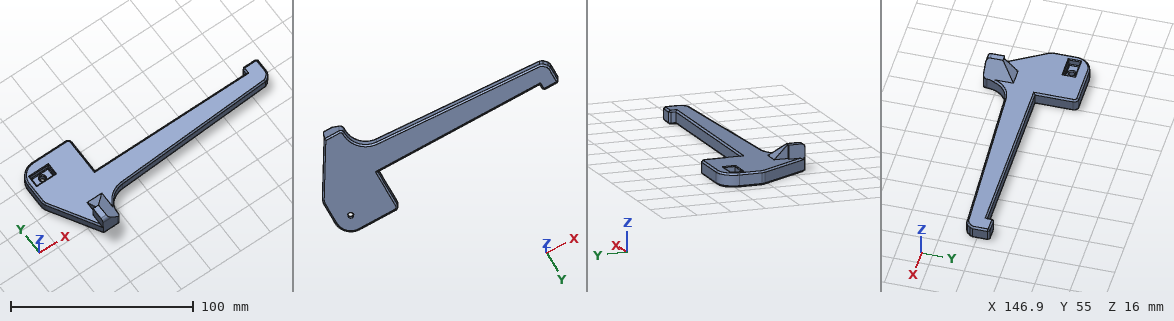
import cadquery as cq
import math

length = 146.9
depth = 55.0
height = 16.0
plate_thickness = height / 2
edge_chamfer = 1.0

head_width = 35.0
head_corner_radius = 10.0
head_inner_radius = 2.5
head_bend_y = 31.0
head_bend_chamfer = 1.2

arm_top_y = head_bend_y
arm_tip_y = 21.0
arm_slope = math.radians(2.9)
hook_width = 10.0
hook_top_y = 34.8
tip_chamfer = 3.2

foot_left = 18.7
foot_right = 30.1
foot_corner_radius = 2.0
armpit_radius = 13.4

stop_left = 18.2
stop_depth = 9.4
stop_top_width = 3.7
stop_rear_inset = 1.8
stop_nose_radius = 2.0

pocket_center = (9.8, 45.2)
pocket_length = 12.3
pocket_width = 6.6
pocket_depth = 4.0
pocket_mouth_chamfer = 0.51
pocket_floor_chamfer = 0.51
screw_hole_diameter = 3.2
screw_hole_chamfer = 0.6


def outline_prism():
    """Plate outline with its corners worked and plain top and bottom edges."""
    armpit_y = arm_tip_y - (length - foot_right) * math.tan(arm_slope)
    tip_chamfer_end = (length - tip_chamfer, arm_tip_y - tip_chamfer * math.tan(arm_slope))
    tip_chamfer_top = (length, arm_tip_y + tip_chamfer)
    hook_outer = (length, hook_top_y)
    hook_inner = (length - hook_width, hook_top_y)
    head_bend = (0, head_bend_y)
    head_outer = (0, depth)
    head_inner = (head_width, depth)
    foot_corner = (foot_right, 0)
    armpit = (foot_right, armpit_y)

    prism = (
        cq.Workplane("XY")
        .polyline([
            (foot_left, 0),
            foot_corner,
            armpit,
            tip_chamfer_end,
            tip_chamfer_top,
            hook_outer,
            hook_inner,
            (length - hook_width, arm_top_y),
            (head_width, arm_top_y),
            head_inner,
            head_outer,
            head_bend,
        ])
        .close()
        .extrude(plate_thickness)
    )

    def upright_edge(point):
        """Selector for the vertical edge standing on an outline point."""
        return cq.selectors.NearestToPointSelector((*point, plate_thickness / 2))

    for corner, radius in (
        (foot_corner, foot_corner_radius),
        (armpit, armpit_radius),
        (head_inner, head_inner_radius),
        (head_outer, head_corner_radius),
    ):
        prism = prism.edges("|Z").edges(upright_edge(corner)).fillet(radius)
    for corner, size in (
        (tip_chamfer_end, edge_chamfer),
        (tip_chamfer_top, edge_chamfer),
        (hook_outer, edge_chamfer),
        (hook_inner, edge_chamfer),
        (head_bend, head_bend_chamfer),
    ):
        prism = prism.edges("|Z").edges(upright_edge(corner)).chamfer(size)
    return prism


def stop_block(outline):
    """Block with a 45 degree flank and a 45 degree ramp behind it.

    Below the plate's top face it fills the edge chamfer out to the outline.
    """
    rise = height - edge_chamfer
    flank = (
        cq.Workplane("XZ")
        .moveTo(stop_left, edge_chamfer)
        .lineTo(stop_left, height)
        .lineTo(stop_left + stop_top_width, height)
        .lineTo(stop_left + stop_top_width + rise, edge_chamfer)
        .close()
        .extrude(-depth)
    )
    ramp = (
        cq.Workplane("YZ")
        .moveTo(0, edge_chamfer)
        .lineTo(0, height)
        .lineTo(stop_depth, height)
        .lineTo(stop_depth + rise, edge_chamfer)
        .close()
        .extrude(length)
        .edges("|X and <Y and >Z")
        .fillet(stop_nose_radius)
    )
    rear_relief = (
        cq.Workplane("XY")
        .box(stop_left + stop_rear_inset, depth, height, centered=False)
        .translate((0, stop_depth, 0))
    )
    block = flank.intersect(ramp).cut(rear_relief)

    footprint = (
        cq.Workplane("XY", origin=(0, 0, plate_thickness))
        .rect(foot_right, depth, centered=False)
        .extrude(height - plate_thickness)
        .edges("|Z and >X and <Y")
        .fillet(foot_corner_radius)
    )
    return block.intersect(footprint).union(block.intersect(outline))


def screw_pocket():
    """Rectangular pocket with bevelled mouth and floor, and a countersunk through hole."""
    floor_z = plate_thickness - pocket_depth
    pocket = (
        cq.Workplane("XY", origin=(*pocket_center, floor_z))
        .rect(pocket_length, pocket_width)
        .extrude(pocket_depth)
        .faces("<Z")
        .chamfer(pocket_floor_chamfer)
    )
    mouth = (
        cq.Workplane("XY", origin=(*pocket_center, plate_thickness))
        .rect(pocket_length + 2 * pocket_mouth_chamfer, pocket_width + 2 * pocket_mouth_chamfer)
        .extrude(-pocket_mouth_chamfer, taper=45)
    )
    hole = (
        cq.Workplane("XY", origin=(*pocket_center, 0))
        .circle(screw_hole_diameter / 2)
        .extrude(floor_z)
    )
    countersink = (
        cq.Workplane("XY", origin=(*pocket_center, floor_z))
        .circle(screw_hole_diameter / 2 + screw_hole_chamfer)
        .extrude(-screw_hole_chamfer, taper=45)
    )
    return pocket.union(mouth).union(hole).union(countersink)


outline = outline_prism()
plate = outline.faces("<Z or >Z").chamfer(edge_chamfer)
result = plate.union(stop_block(outline)).cut(screw_pocket())